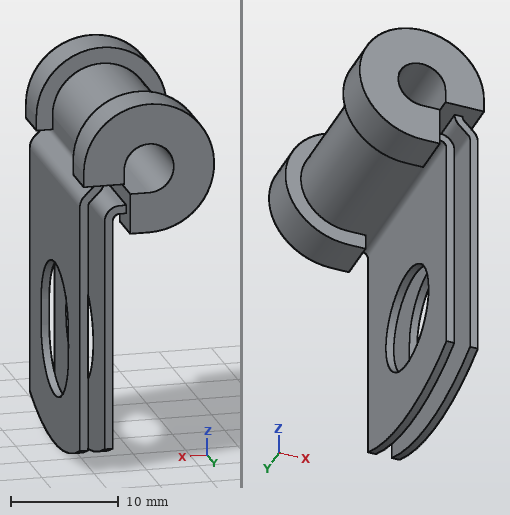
import cadquery as cq
import math

total_height = 35.85
loop_radius = 6.25
bore_radius = 2.35
total_length = 22.1
collar_length = 4.05

strap_width = 19.07
strap_thickness = 0.8
strap_outer_radius = 4.7
bend_radius = 1.08
lower_lip_x = 1.8
upper_lip_z = -1.35
left_leg_x = 3.48

hole_diameter = 10.35
hole_z = -18.45
slot_travel = 2.5
tip_sag = 2.15

tip_z = loop_radius - total_height
strap_mid_radius = strap_outer_radius - strap_thickness / 2
right_leg_x = loop_radius - strap_thickness / 2


def extrude_along_y(sketch, length):
    """Extrude an XZ sketch symmetrically about Y = 0."""
    return sketch.extrude(length / 2, both=True)


def cushion(outer_radius, length):
    """C-shaped ring open at the lower right, with short straight lips."""
    diagonal = math.sqrt(0.5)
    outline = (
        cq.Workplane("XZ")
        .moveTo(lower_lip_x, -outer_radius)
        .lineTo(0, -outer_radius)
        .threePointArc((-outer_radius * diagonal, outer_radius * diagonal), (outer_radius, 0))
        .lineTo(outer_radius, upper_lip_z)
        .lineTo(bore_radius, upper_lip_z)
        .lineTo(bore_radius, 0)
        .threePointArc((-bore_radius * diagonal, bore_radius * diagonal), (0, -bore_radius))
        .lineTo(lower_lip_x, -bore_radius)
        .close()
    )
    return extrude_along_y(outline, length)


def strap():
    """Bent metal strip: left leg, loop, 45 degree jog and right leg."""
    diagonal = math.sqrt(0.5)
    bend_x = bend_radius * (1 - diagonal)
    bend_z = bend_radius * diagonal
    jog_run = right_leg_x - strap_mid_radius - 2 * bend_x
    path = (
        cq.Workplane("XZ")
        .moveTo(left_leg_x, tip_z)
        .lineTo(left_leg_x, -strap_mid_radius - bend_radius)
        .tangentArcPoint((-bend_radius, bend_radius))
        .lineTo(0, -strap_mid_radius)
        .threePointArc(
            (-strap_mid_radius * diagonal, strap_mid_radius * diagonal),
            (strap_mid_radius, 0),
        )
        .lineTo(strap_mid_radius, upper_lip_z)
        .tangentArcPoint((bend_x, -bend_z))
        .line(jog_run, -jog_run)
        .tangentArcPoint((bend_x, -bend_z))
        .lineTo(right_leg_x, tip_z)
    )
    strip = extrude_along_y(path.offset2D(strap_thickness / 2, "intersection"), strap_width)
    return strip.intersect(strap_side_outline()).cut(leg_openings())


def strap_side_outline():
    """Silhouette of the strap across X: square top and arched tip."""
    half_width = strap_width / 2
    corner_z = tip_z + tip_sag
    return (
        cq.Workplane("YZ")
        .moveTo(-half_width, loop_radius)
        .lineTo(-half_width, corner_z)
        .threePointArc((0, tip_z), (half_width, corner_z))
        .lineTo(half_width, loop_radius)
        .close()
        .extrude(loop_radius, both=True)
    )


def leg_openings():
    """Cutters for the round hole in the left leg and the upright slot in the right leg."""
    mid_gap_x = (left_leg_x + right_leg_x) / 2
    plane = cq.Workplane("YZ", origin=(mid_gap_x, 0, hole_z))
    hole = plane.circle(hole_diameter / 2).extrude(-mid_gap_x)
    slot = plane.slot2D(hole_diameter + slot_travel, hole_diameter, 90).extrude(mid_gap_x)
    return hole.union(slot)


lining = cushion(strap_mid_radius, total_length)
collar_offset = (total_length - collar_length) / 2
result = lining.union(strap())
for side in (-1, 1):
    collar = cushion(loop_radius, collar_length).translate((0, side * collar_offset, 0))
    result = result.union(collar)